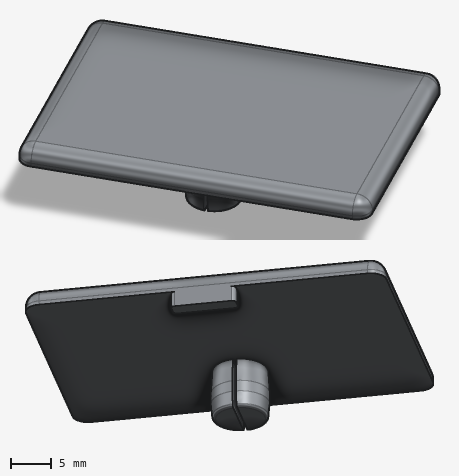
import cadquery as cq

plate_length = 45.0
plate_width = 32.0
overall_height = 9.0
edge_radius = 2.0
rim_height = 0.55
plate_thickness = edge_radius + rim_height

peg_center_y = -6.5
peg_length = overall_height - plate_thickness
peg_max_radius = 3.6
peg_end_radius = 3.4
peg_band_top = 3.0
peg_band_bottom = 4.45
peg_tip_fillet = 0.4
peg_slot_width = 0.5

tab_length = 8.1
tab_width = 2.0
tab_height = 2.0
tab_corner_radius = 0.5


def make_plate():
    """Plate with rounded corners and a fully rounded upper rim."""
    block = cq.Workplane("XY").box(
        plate_length, plate_width, plate_thickness, centered=(True, True, False)
    )
    return block.edges("|Z").fillet(edge_radius).faces(">Z").edges().fillet(edge_radius)


def make_peg():
    """Barrel-shaped round peg, split in two by a slot along Y."""
    barrel = (
        cq.Workplane("XZ")
        .lineTo(peg_end_radius, 0)
        .lineTo(peg_max_radius, -peg_band_top)
        .lineTo(peg_max_radius, -peg_band_bottom)
        .lineTo(peg_end_radius, -peg_length)
        .lineTo(0, -peg_length)
        .close()
        .revolve(360, (0, 0, 0), (0, 1, 0))
        .faces("<Z")
        .edges()
        .fillet(peg_tip_fillet)
    )
    slot = cq.Workplane("XY").rect(peg_slot_width, 2 * peg_max_radius).extrude(-peg_length)
    return barrel.cut(slot).translate((0, peg_center_y, 0))


def make_tab():
    """Rectangular tab with rounded vertical corners, flush with the +Y side."""
    return (
        cq.Workplane("XY")
        .center(0, (plate_width - tab_width) / 2)
        .rect(tab_length, tab_width)
        .extrude(-tab_height)
        .edges("|Z")
        .fillet(tab_corner_radius)
    )


result = make_plate().union(make_peg()).union(make_tab())